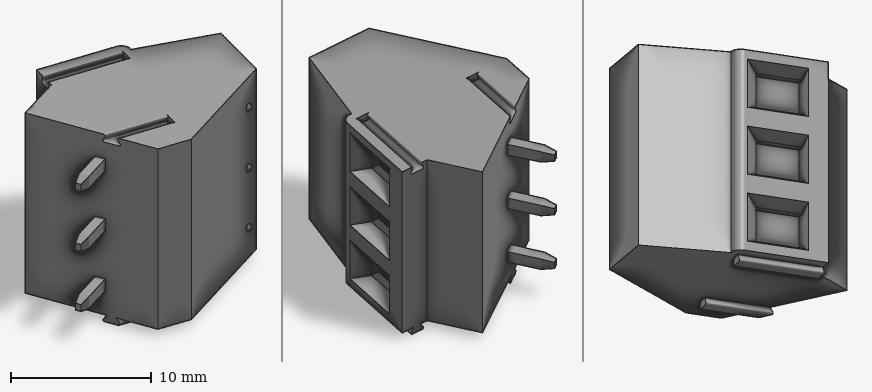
import cadquery as cq
import math

overall_length = 19.03

pole_count = 3
pole_pitch = 5.08
body_height = pole_count * pole_pitch
pole_heights = [(pole + 0.5) * pole_pitch for pole in range(pole_count)]

body_width = 12.08
left_wall_length = 4.13
right_wall_end = 12.5
chamfer_rise = 2.2
apex_x = 7.75
shoulder_run = 5.7

snout_angle = 55.0
cos_a = math.cos(math.radians(snout_angle))
sin_a = math.sin(math.radians(snout_angle))
tan_a = sin_a / cos_a
face_dir = (cos_a, sin_a, 0)
inward_dir = (sin_a, -cos_a, 0)
chamfer_run = chamfer_rise / tan_a
apex_y = right_wall_end + (body_width - apex_x) / tan_a
snout_depth = 2.2
snout_length = 7.17
snout_radius = 0.7
snout_tip = (-snout_depth * sin_a, left_wall_length + snout_depth * cos_a)

funnel_center = 3.88
funnel_length = 4.7
funnel_height = 3.65
funnel_inset = 0.53
funnel_depth = 1.1
socket_depth = 0.6

dovetail_root = 0.65
rib_depth = 0.59
groove_depth = 0.65
dovetail_taper = 28.0
dovetail_radius = 0.13
dovetail_length = 8.56
dovetail_ends = [(3.03, 10.0), (9.61, 3.94)]

pin_x = 5.95
pin_width = 0.8
pin_height = 0.99
pin_length = overall_length - apex_y
pin_tip_length = 0.95
pin_tip_width = 0.44
pin_tip_height = 0.59
pin_embed = 0.38

knob_y = 11.23
knob_radius = 0.35
knob_projection = 0.2


def on_snout_face(distance):
    """Point in XY on the snout's front face, at a distance from its tip."""
    return (snout_tip[0] + distance * cos_a, snout_tip[1] + distance * sin_a)


def housing(bottom, height):
    """Housing with its snout, extruded upwards from the given level."""
    core = (
        cq.Workplane("XY", origin=(0, 0, bottom))
        .polyline([
            (0, 0),
            (body_width - chamfer_run, 0),
            (body_width, chamfer_rise),
            (body_width, right_wall_end),
            (apex_x, apex_y),
            (apex_x - shoulder_run, apex_y - shoulder_run),
            (0, left_wall_length),
        ])
        .close()
        .extrude(height)
    )
    snout_plane = cq.Plane(origin=(*snout_tip, bottom), xDir=face_dir, normal=(0, 0, 1))
    snout = (
        cq.Workplane(snout_plane)
        .rect(snout_length, -snout_depth, centered=False)
        .extrude(height)
        .edges(cq.selectors.NearestToPointSelector((*on_snout_face(snout_length), bottom + height / 2)))
        .fillet(snout_radius)
    )
    return core.union(snout)


def wire_funnel(z):
    """Tapered wire entry followed by a straight socket."""
    origin = (*on_snout_face(funnel_center), z)
    socket_length = funnel_length - funnel_depth
    socket_height = funnel_height - 2 * funnel_inset
    face = cq.Workplane(cq.Plane(origin=origin, xDir=face_dir, normal=inward_dir))
    socket_start = face.workplane(offset=funnel_depth).center(-funnel_depth / 2, 0)
    funnel = (
        face.rect(funnel_length, funnel_height)
        .workplane(offset=funnel_depth)
        .center(-funnel_depth / 2, 0)
        .rect(socket_length, socket_height)
        .loft()
    )
    socket = socket_start.rect(socket_length, socket_height).extrude(socket_depth)
    return funnel.union(socket)


def dovetail(end, z, depth, rounded_rim):
    """Dovetail bar hanging down from level z, square at its closed end.

    Its lower edges are rounded; a rounded rim flares the upper edges outwards to match.
    """
    slope = math.radians(dovetail_taper)
    root = dovetail_root / 2
    foot = root + depth * math.tan(slope)
    half_edge_angle = math.radians(90 - dovetail_taper) / 2
    level_run = dovetail_radius / math.tan(half_edge_angle)
    slant_run = level_run * math.sin(slope)
    slant_drop = level_run * math.cos(slope)
    middle_run = level_run - dovetail_radius * math.cos(half_edge_angle)
    middle_drop = dovetail_radius - dovetail_radius * math.sin(half_edge_angle)

    outward = (-cos_a, -sin_a, 0)
    plane = cq.Plane(origin=(*end, z), xDir=inward_dir, normal=outward)
    profile = cq.Workplane(plane)
    if rounded_rim:
        profile = (
            profile.lineTo(root + level_run, 0)
            .threePointArc((root + middle_run, -middle_drop), (root + slant_run, -slant_drop))
        )
    else:
        profile = profile.lineTo(root, 0)
    half = (
        profile.lineTo(foot - slant_run, slant_drop - depth)
        .threePointArc((foot - middle_run, middle_drop - depth), (foot - level_run, -depth))
        .lineTo(0, -depth)
        .close()
        .extrude(dovetail_length)
    )
    return half.union(half.mirror(cq.Vector(inward_dir), (*end, z)))


def solder_pin(z):
    """Rectangular pin pointing along -Y with a tapered tip."""
    shank_length = pin_length - pin_tip_length
    root = cq.Workplane("XZ", origin=(pin_x, pin_embed, z))
    shank = root.rect(pin_width, pin_height).extrude(pin_embed + shank_length)
    tip = (
        root.workplane(offset=pin_embed + shank_length)
        .rect(pin_width, pin_height)
        .workplane(offset=pin_tip_length)
        .rect(pin_tip_width, pin_tip_height)
        .loft()
    )
    return shank.union(tip)


def knob(z):
    """Ball sunk into the right wall so that only a dome stands out."""
    center_x = body_width + knob_projection - knob_radius
    return cq.Workplane("YZ", origin=(center_x, knob_y, z)).sphere(knob_radius)


result = housing(0, body_height)

for end in dovetail_ends:
    result = result.cut(dovetail(end, body_height, groove_depth, rounded_rim=True))

rib_envelope = housing(-rib_depth, rib_depth)
for end in dovetail_ends:
    result = result.union(dovetail(end, 0, rib_depth, rounded_rim=False).intersect(rib_envelope))

for z in pole_heights:
    result = result.cut(wire_funnel(z))
    result = result.union(solder_pin(z))
    result = result.union(knob(z))